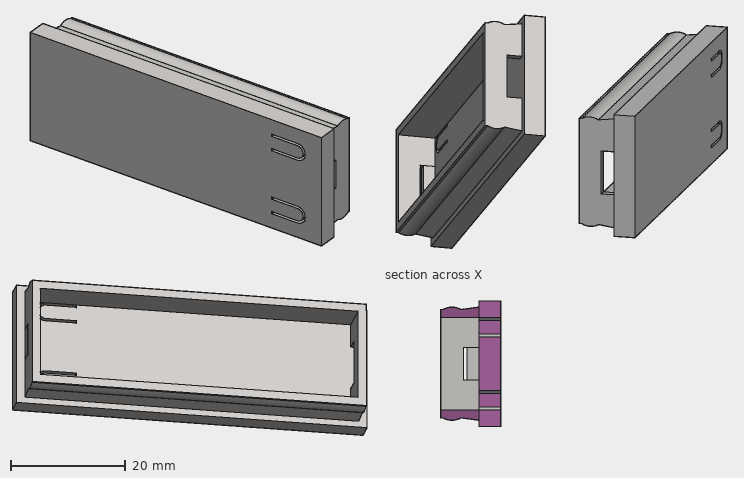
import cadquery as cq

PLATE_LENGTH = 62.5
PLATE_HEIGHT = 22.0
PLATE_THICKNESS = 3.8
TOTAL_DEPTH = 10.5

CUT_WIDTH = 0.45
CUT_OUTER_RADIUS = 1.7
CUT_INNER_RADIUS = CUT_OUTER_RADIUS - CUT_WIDTH
CUT_START_X = 20.55
CUT_TIP_X = 27.75
CUT_ARC_X = CUT_TIP_X - CUT_OUTER_RADIUS
CUT_OFFSET_Z = 6.4

FRAME_INSET = 1.5
FRAME_LENGTH = PLATE_LENGTH - 2 * FRAME_INSET
FRAME_WALL = 1.45

SIDE_LOW_Z = 9.5
SIDE_RISE = 0.405
SIDE_PEAK_Z = SIDE_LOW_Z + SIDE_RISE
BEAD_BACK_Y = 10.05
BEAD_FRONT_Y = 7.0
BEAD_MIDDLE_Y = (BEAD_BACK_Y + BEAD_FRONT_Y) / 2
GROOVE_WIDTH = 0.2
RAMP_START_Y = BEAD_FRONT_Y - GROOVE_WIDTH

OPENING_BACK_Y = 6.5
OPENING_DEPTH = OPENING_BACK_Y - PLATE_THICKNESS
PORT_HEIGHT = 7.75
NOTCH_HEIGHT = 5.6

TAB_BACK_Y = 5.95
TAB_DEPTH = TAB_BACK_Y - PLATE_THICKNESS


def box_from(x_min, x_size, y_min, y_size, height):
    """A box given by its low x and y sides and centred on z = 0."""
    box = cq.Workplane("XY").box(x_size, y_size, height, centered=(False, False, True))
    return box.translate((x_min, y_min, 0))


def tongue_cut(center_z):
    """A U-shaped cut through the plate, with its round end towards +X."""
    tip_inner_x = CUT_ARC_X + CUT_INNER_RADIUS
    outline = (
        cq.Workplane("XZ")
        .moveTo(CUT_START_X, center_z + CUT_OUTER_RADIUS)
        .lineTo(CUT_ARC_X, center_z + CUT_OUTER_RADIUS)
        .threePointArc((CUT_TIP_X, center_z), (CUT_ARC_X, center_z - CUT_OUTER_RADIUS))
        .lineTo(CUT_START_X, center_z - CUT_OUTER_RADIUS)
        .lineTo(CUT_START_X, center_z - CUT_INNER_RADIUS)
        .lineTo(CUT_ARC_X, center_z - CUT_INNER_RADIUS)
        .threePointArc((tip_inner_x, center_z), (CUT_ARC_X, center_z + CUT_INNER_RADIUS))
        .lineTo(CUT_START_X, center_z + CUT_INNER_RADIUS)
        .close()
    )
    return outline.extrude(-PLATE_THICKNESS)


def make_cover():
    """The plate with its two tongues and the tab at the +X end."""
    cover = box_from(-PLATE_LENGTH / 2, PLATE_LENGTH, 0, PLATE_THICKNESS, PLATE_HEIGHT)
    tab_x = FRAME_LENGTH / 2 - FRAME_WALL
    cover = cover.union(box_from(tab_x, FRAME_WALL, PLATE_THICKNESS, TAB_DEPTH, NOTCH_HEIGHT))
    for center_z in (-CUT_OFFSET_Z, CUT_OFFSET_Z):
        cover = cover.cut(tongue_cut(center_z))
    return cover


def frame_blank():
    """The frame's outer shape: a snap profile, the same above and below, run along X."""
    profile = (
        cq.Workplane("YZ")
        .moveTo(PLATE_THICKNESS, SIDE_PEAK_Z)
        .lineTo(RAMP_START_Y, SIDE_LOW_Z)
        .lineTo(BEAD_FRONT_Y, SIDE_LOW_Z)
        .threePointArc((BEAD_MIDDLE_Y, SIDE_PEAK_Z), (BEAD_BACK_Y, SIDE_LOW_Z))
        .lineTo(TOTAL_DEPTH, SIDE_LOW_Z)
        .lineTo(TOTAL_DEPTH, -SIDE_LOW_Z)
        .lineTo(BEAD_BACK_Y, -SIDE_LOW_Z)
        .threePointArc((BEAD_MIDDLE_Y, -SIDE_PEAK_Z), (BEAD_FRONT_Y, -SIDE_LOW_Z))
        .lineTo(RAMP_START_Y, -SIDE_LOW_Z)
        .lineTo(PLATE_THICKNESS, -SIDE_PEAK_Z)
        .close()
    )
    return profile.extrude(FRAME_LENGTH / 2, both=True)


def make_frame():
    """The ring with a port in its -X wall and a narrower notch in its +X wall."""
    inside_length = FRAME_LENGTH - 2 * FRAME_WALL
    inside_height = 2 * (SIDE_LOW_Z - FRAME_WALL)
    inside_depth = TOTAL_DEPTH - PLATE_THICKNESS
    inside = box_from(-inside_length / 2, inside_length, PLATE_THICKNESS, inside_depth, inside_height)
    port = box_from(-FRAME_LENGTH / 2, FRAME_WALL, PLATE_THICKNESS, OPENING_DEPTH, PORT_HEIGHT)
    notch = box_from(inside_length / 2, FRAME_WALL, PLATE_THICKNESS, OPENING_DEPTH, NOTCH_HEIGHT)
    return frame_blank().cut(inside).cut(port).cut(notch)


cover = make_cover()
frame = make_frame()
result = cq.Compound.makeCompound([cover.val(), frame.val()])